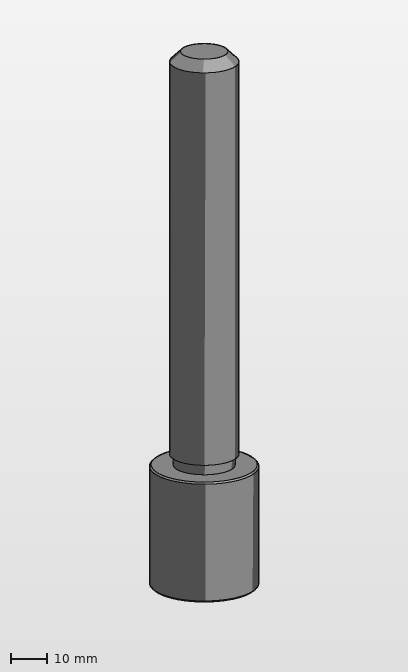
import cadquery as cq

total_length = 155.0
head_diameter = 30.0
head_height = 34.9
head_edge_chamfer = 0.5
neck_diameter = 17.0
neck_height = 3.1
shank_diameter = 19.0
tip_diameter = 13.0
tip_height = 3.0

shank_length = total_length - head_height - neck_height - tip_height

head = (
    cq.Workplane("XY")
    .circle(head_diameter / 2)
    .extrude(head_height)
    .edges("%CIRCLE")
    .chamfer(head_edge_chamfer)
)

neck = head.faces(">Z").workplane().circle(neck_diameter / 2).extrude(neck_height)

shank = neck.faces(">Z").workplane().circle(shank_diameter / 2).extrude(shank_length)

result = (
    shank.faces(">Z")
    .workplane()
    .circle(shank_diameter / 2)
    .workplane(offset=tip_height)
    .circle(tip_diameter / 2)
    .loft(combine=True)
)